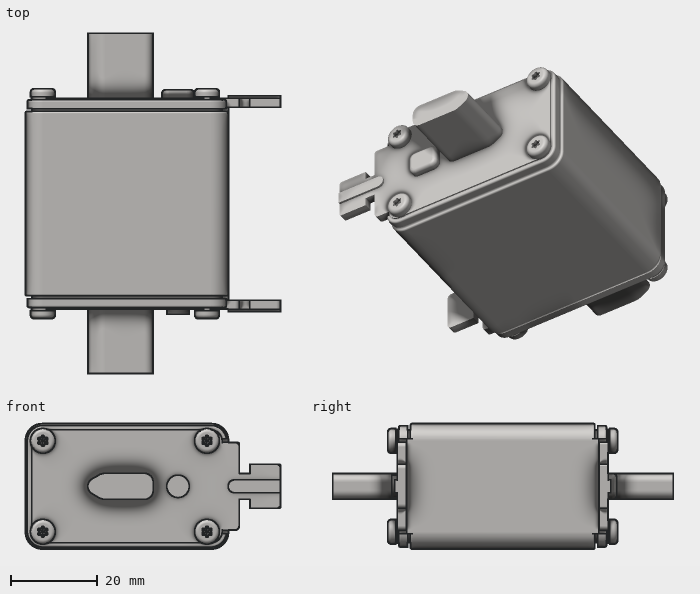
import cadquery as cq
import math

overall_width = 59
overall_length = 78.65

body_width = 46.95
body_height = 29.0
body_length = 42.6
body_corner = 4.0
edge_round = 0.5
body_end = body_length / 2

neck_length = 0.6
cover_thickness = 2.05
sheet_thickness = 0.4
cover_inset = 0.5
sheet_inset = 1.5
cover_start = body_end + neck_length
sheet_start = cover_start + cover_thickness
face = sheet_start + sheet_thickness

front_blade_reach = 39.25
rear_blade_reach = overall_length - front_blade_reach
blade_left = -9.05
blade_right = 6.05
blade_thickness = 6.0
blade_nose_radius = 2.0
blade_taper_angle = 30
blade_shoulder_radius = 3.0
blade_corner_radius = 2.0

screw_pitch_x = 37.9
screw_pitch_z = 21.0
screw_centre_x = -0.5
head_diameter = 5.75
head_height = 2.2
head_round = 0.95
head_gap = 0.3
shank_diameter = 5.3
recess_depth = 1.2
recess_core_radius = 0.95
recess_lobe_radius = 0.3
recess_lobes = 6
recess_floor_slope = 60
recess_floor_depth = 0.4

tab_end = overall_width - body_width / 2
tab_thickness = 2.1
tab_shoulder_x = 25.95
tab_head_x = 28.4
tab_half_height = 10.15
tab_neck_half_height = 3.0
tab_head_half_height = 5.1
front_tab_round = 1.0
rear_tab_round = 0.5
tab_root_x = body_width / 2 - sheet_inset
notch_half_height = 11.0
spacer_length = 0.9
bead_start = 23.35
bead_half_height = 1.5
bead_thickness = 0.55

boss_x = 11.8
front_boss_diameter = 5.2
front_boss_height = 1.2
rear_boss_width = 7.5
rear_boss_height = 2.0
rear_boss_corner = 1.65
rear_boss_round = 0.95


def plane_at(y):
    """XZ plane at the given Y; extruding from it goes toward -Y."""
    return cq.Workplane("XZ", origin=(0, y, 0))


def rounded_slab(inset, y_inner, y_outer):
    """Body outline shrunk by inset, extruded from y_inner out to y_outer (toward -Y)."""
    slab = plane_at(y_inner).rect(body_width - 2 * inset, body_height - 2 * inset)
    slab = slab.extrude(y_inner - y_outer)
    return slab.edges("|Y").fillet(body_corner - inset)


def make_body():
    body = rounded_slab(0, body_end, -body_end)
    return body.faces("<Y or >Y").edges().fillet(edge_round)


def make_end_stack():
    """Neck, cover and face sheet of the -Y end, notched where the tab passes."""
    neck = rounded_slab(sheet_inset, 0, -cover_start)
    cover = rounded_slab(cover_inset, -cover_start, -sheet_start)
    cover = cover.faces("<Y").edges().fillet(edge_round)
    notch = cq.Workplane("XY").box(
        sheet_inset, face, 2 * notch_half_height, centered=(False, False, True)
    ).translate((tab_root_x, -face, 0))
    sheet = rounded_slab(sheet_inset, -cover_start, -face)
    return neck.union(cover.cut(notch)).union(sheet)


def make_spacer():
    """Block filling the neck groove behind the tab."""
    inner_y = -body_end + edge_round
    outer_y = -body_end - spacer_length
    window = plane_at(inner_y).center(body_width / 2, 0).rect(2 * sheet_inset, 2 * notch_half_height)
    return rounded_slab(0, inner_y, outer_y).intersect(window.extrude(inner_y - outer_y))


def make_blade(reach):
    """Blade reaching from the body centre to -Y, with a tapered, rounded nose toward -X."""
    half = blade_thickness / 2
    taper = math.radians(blade_taper_angle)
    apex_x = blade_left + blade_nose_radius - blade_nose_radius / math.sin(taper)
    shoulder_x = apex_x + half / math.tan(taper)
    outline = [
        (apex_x, 0),
        (shoulder_x, half),
        (blade_right, half),
        (blade_right, -half),
        (shoulder_x, -half),
    ]
    blade = plane_at(0).polyline(outline).close().extrude(reach)
    blade = blade.edges("|Y and <X").fillet(blade_nose_radius)
    blade = blade.edges("|Y and >X").fillet(blade_corner_radius)
    for shoulder_z in (-half, half):
        middle = (shoulder_x, -reach / 2, shoulder_z)
        edge = blade.edges(cq.selectors.NearestToPointSelector(middle))
        blade = edge.fillet(blade_shoulder_radius)
    return blade


def make_screw():
    """Pan head screw on the -Y face, centred on X = Z = 0."""
    head_top = face + head_height
    shank = plane_at(-sheet_start).circle(shank_diameter / 2).extrude(sheet_thickness + head_gap)
    head = plane_at(-face - head_gap).circle(head_diameter / 2).extrude(head_height - head_gap)
    head = head.faces("<Y").edges().fillet(head_round)
    recess_floor = plane_at(-head_top + recess_depth)
    recess = recess_floor.circle(recess_core_radius).extrude(recess_depth)
    lobes = recess_floor.polarArray(recess_core_radius, 90, 360, recess_lobes)
    recess = recess.union(lobes.circle(recess_lobe_radius).extrude(recess_depth))
    floor = cq.Workplane("ZX", origin=(0, -head_top + recess_depth, 0))
    floor = floor.polygon(recess_lobes, 2 * recess_core_radius)
    floor = floor.extrude(recess_floor_depth, taper=recess_floor_slope)
    return shank.union(head).cut(recess).cut(floor)


def make_screws():
    screw = make_screw()
    screws = cq.Workplane("XZ")
    for side_x in (-1, 1):
        for side_z in (-1, 1):
            x = screw_centre_x + side_x * screw_pitch_x / 2
            screws = screws.union(screw.translate((x, 0, side_z * screw_pitch_z / 2)))
    return screws


def make_tab(upper_round, lower_round, head_corner_round):
    """T-shaped pull tab, flush with the -Y face, with a raised bead along its middle."""
    upper = [
        (tab_root_x, tab_half_height),
        (tab_shoulder_x, tab_half_height),
        (tab_shoulder_x, tab_neck_half_height),
        (tab_head_x, tab_neck_half_height),
        (tab_head_x, tab_head_half_height),
        (tab_end, tab_head_half_height),
    ]
    lower = [(x, -z) for x, z in reversed(upper)]
    tab = plane_at(-face + tab_thickness).polyline(upper + lower).close().extrude(tab_thickness)
    tab = tab.edges("|Y and >X").fillet(head_corner_round)
    for corner_z, radius in ((tab_half_height, upper_round), (-tab_half_height, lower_round)):
        middle = (tab_shoulder_x, -face + tab_thickness / 2, corner_z)
        tab = tab.edges(cq.selectors.NearestToPointSelector(middle)).fillet(radius)

    arc_x = bead_start + bead_half_height
    bead = plane_at(-face + tab_thickness).moveTo(tab_end, bead_half_height)
    bead = bead.lineTo(arc_x, bead_half_height)
    bead = bead.threePointArc((bead_start, 0), (arc_x, -bead_half_height))
    bead = bead.lineTo(tab_end, -bead_half_height).close()
    return tab.union(bead.extrude(tab_thickness + bead_thickness))


def make_front_boss():
    boss = plane_at(0).center(boss_x, 0).circle(front_boss_diameter / 2)
    return boss.extrude(face + front_boss_height)


def make_rear_boss():
    boss = plane_at(face + rear_boss_height).center(boss_x, 0).rect(rear_boss_width, blade_thickness)
    boss = boss.extrude(face + rear_boss_height).edges("|Y").fillet(rear_boss_corner)
    return boss.faces(">Y").edges().fillet(rear_boss_round)


result = make_body()
for piece in (make_end_stack(), make_spacer(), make_screws()):
    result = result.union(piece).union(piece.mirror("XZ"))

front_parts = (
    make_blade(front_blade_reach),
    make_tab(front_tab_round, front_tab_round, front_tab_round),
    make_front_boss(),
)
rear_parts = (
    make_blade(rear_blade_reach).mirror("XZ"),
    make_tab(rear_tab_round, front_tab_round, rear_tab_round).mirror("XZ"),
    make_rear_boss(),
)
for piece in front_parts + rear_parts:
    result = result.union(piece)